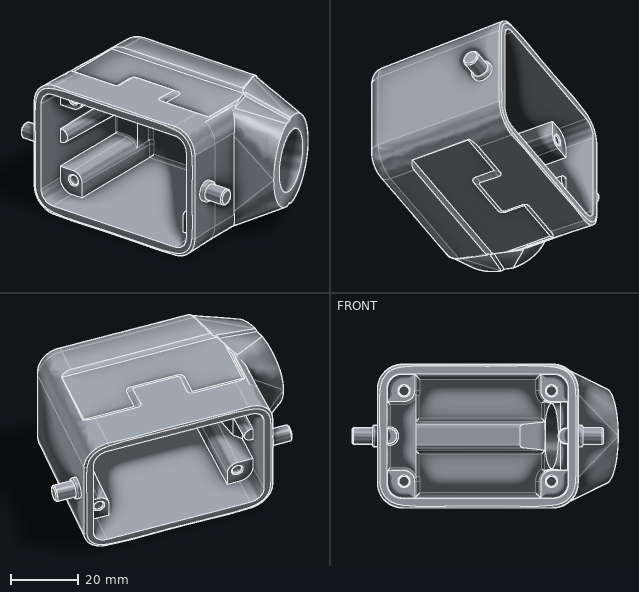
import math

import cadquery as cq

MOUTH_WIDTH = 60.0
MOUTH_HEIGHT = 42.98
BODY_DEPTH = 46.0
DRAFT = math.tan(math.radians(0.9))
CORNER_RADIUS = 7.6
BACK_FILLET = 4.0
RIM_CHAMFER_DEPTH = 0.4
RIM_CHAMFER_WIDTH = 0.85

SLANT_TOP_X = 19.2
SLANT_LOW_X, SLANT_LOW_Y = 25.6, 24.7
SLANT_FOOT_Y = 20.3

OUTLET_ANGLE = 15.85
OUTLET_RADIUS = 14.31
OUTLET_X, OUTLET_Y = 38.05, 37.41
OUTLET_BASE_TOP = (19.0, 45.95)
OUTLET_BASE_FOOT = (25.9, 18.9)
OUTLET_BASE_HALF_HEIGHT = 20.8
OUTLET_BASE_CORNER = 4.2
BORE_RADIUS = 9.7

PAD_START_X = 26.35
PAD_START_Y = 10.5

RECESS_FLOOR_Z = 20.05
RECESS_SLOPE = 1.5
RECESS_HALF_LENGTH = 25.2
RECESS_FRONT_Y = 13.65
RECESS_BACK_Y = 32.6
TAB_HALF_WIDTH = 9.2
TAB_BACK_Y = 21.7
RECESS_CUT_HEIGHT = 2.0
RECESS_SHARP_CORNER = 0.1
TAB_FLOOR_CORNER = 1.7
RECESS_OUTER_CORNER = 2.2
OUTLET_RECESS_DROP = 0.85
OUTLET_RECESS_BACK_X = 24.6
OUTLET_RECESS_BACK_Z = 19.3
OUTLET_RECESS_FRONT_Z = 20.1
OUTLET_RECESS_INSET = 0.55

MOUTH_WALL = 2.92
CAVITY_DEPTH = 43.0
CAVITY_CORNER = 4.3
FLOOR_FILLET = 1.0
INSERT_SEAT_Y = 9.3
POST_INNER_X = 18.8
POST_INNER_Z = 10.3
POST_CORNER = 3.3
POST_TAPER = 1.0
SCREW_X, SCREW_Z = 22.0, 13.5
SCREW_HOLE_DIAMETER = 3.0
SCREW_HOLE_DEPTH = 15.0
SCREW_HOLE_CHAMFER = 0.35
SHELF_Y = 36.5
SHELF_EDGE_X = -18.5
SHELF_FILLET = 0.4
END_WALL_Y = 20.4
END_WALL_FOOT_Y = 18.1
END_WALL_FRONT_X = 24.7
END_WALL_BACK_X = 19.8
RIDGE_TOP_Y = 36.8
RIDGE_TOP_HALF = 3.4
RIDGE_FILLET = 0.8
RIDGE_BASE_HALF = 4.5
FACET_FILLET = 0.6
RIDGE_FACET_X = 12.6
RIDGE_END_X = 20.0
RIDGE_END_Y = 41.3
RIB_HALF_WIDTH = 2.2
RIB_TIP_X = 24.2
RIB_TAPER = 1.2

PIN_Y = 6.1
PIN_DIAMETER = 5.0
PIN_SPAN = 75.0
PIN_CHAMFER = 0.4
COLLAR_DIAMETER = 6.5
COLLAR_SPAN = 62.7
COLLAR_FILLET = 0.5

MARGIN = 5.0
NEAR = 0.001


def section_at(depth):
    """XZ workplane at Y = depth, its normal pointing to -Y."""
    return cq.Workplane("XZ", origin=(0, depth, 0))


def drafted_block(width, height, depth, corner):
    """Rounded rectangle on Y = 0 that narrows with the draft up to Y = depth."""
    shrink = 2 * depth * DRAFT
    mouth = cq.Sketch().rect(width, height).vertices().fillet(corner)
    back = cq.Sketch().rect(width - shrink, height - shrink).vertices().fillet(corner)
    back = back.moved(cq.Location(cq.Vector(0, 0, -depth)))
    return section_at(0).placeSketch(mouth, back).loft(ruled=True)


def extrude_z(points):
    """Prism of an XY outline through the full height of the part."""
    return cq.Workplane("XY").polyline(points).close().extrude(MOUTH_HEIGHT, both=True)


def make_body():
    body = drafted_block(MOUTH_WIDTH, MOUTH_HEIGHT, BODY_DEPTH, CORNER_RADIUS)
    body = body.faces(">Y").edges().fillet(BACK_FILLET)
    body = body.faces("<Y").edges().chamfer(RIM_CHAMFER_DEPTH, RIM_CHAMFER_WIDTH)
    side_x = MOUTH_WIDTH / 2
    removed_end = [
        (SLANT_TOP_X, BODY_DEPTH),
        (SLANT_LOW_X, SLANT_LOW_Y),
        (side_x, SLANT_FOOT_Y),
        (side_x + MARGIN, SLANT_FOOT_Y),
        (side_x + MARGIN, BODY_DEPTH + MARGIN),
        (SLANT_TOP_X, BODY_DEPTH + MARGIN),
    ]
    return body.cut(extrude_z(removed_end))


def make_pad():
    """Undrafted continuation of the +X corners between the rim and the outlet."""
    shrink = 2 * PAD_START_Y * DRAFT
    outline = cq.Sketch().rect(MOUTH_WIDTH - shrink, MOUTH_HEIGHT - shrink)
    outline = outline.vertices().fillet(CORNER_RADIUS)
    pad = section_at(PAD_START_Y).placeSketch(outline).extrude(PAD_START_Y - SLANT_LOW_Y)
    side_x = MOUTH_WIDTH / 2
    kept = [
        (PAD_START_X, PAD_START_Y),
        (side_x, PAD_START_Y),
        (side_x, SLANT_FOOT_Y),
        (PAD_START_X, SLANT_LOW_Y - (PAD_START_X - SLANT_LOW_X)),
    ]
    return pad.intersect(extrude_z(kept))


def outlet_plane():
    """Plane of the outlet end face: local x along Z, local y up the face."""
    angle = math.radians(OUTLET_ANGLE)
    axis = cq.Vector(math.cos(angle), math.sin(angle), 0)
    return cq.Plane(origin=(OUTLET_X, OUTLET_Y, 0), xDir=(0, 0, -1), normal=axis)


def base_plane():
    """Plane of the outlet base inside the body, with the same local axes."""
    up = cq.Vector(*OUTLET_BASE_TOP) - cq.Vector(*OUTLET_BASE_FOOT)
    side = cq.Vector(0, 0, -1)
    return cq.Plane(origin=OUTLET_BASE_FOOT + (0,), xDir=side, normal=side.cross(up))


def make_outlet():
    """Hull of a rounded rectangle and a circle: four flat triangles and four conical corners."""
    base = base_plane()
    end = outlet_plane()
    length = math.dist(OUTLET_BASE_TOP, OUTLET_BASE_FOOT)
    corner_x = OUTLET_BASE_HALF_HEIGHT - OUTLET_BASE_CORNER

    def quarter(plane, x, y, radius, quadrant):
        """Start, middle and end of a quarter circle, from the flank to the top or foot edge."""
        side, upward = quadrant
        diagonal = radius * math.sqrt(0.5)
        steps = [(radius, 0), (diagonal, diagonal), (0, radius)]
        return [plane.toWorldCoords((x + side * a, y + upward * b)) for a, b in steps]

    def base_corner(quadrant):
        side, upward = quadrant
        y = length - OUTLET_BASE_CORNER if upward > 0 else OUTLET_BASE_CORNER
        return quarter(base, side * corner_x, y, OUTLET_BASE_CORNER, quadrant)

    quadrants = [(1, 1), (-1, 1), (-1, -1), (1, -1)]
    corners = [base_corner(quadrant) for quadrant in quadrants]
    quarters = [quarter(end, 0, 0, OUTLET_RADIUS, quadrant) for quadrant in quadrants]
    corner_arcs = [cq.Edge.makeThreePointArc(*points) for points in corners]
    circle_arcs = [cq.Edge.makeThreePointArc(*points) for points in quarters]
    faces = [cq.Face.makeRuledSurface(a, c) for a, c in zip(corner_arcs, circle_arcs)]

    base_lines = []
    for i, points in enumerate(corners):
        shared = 2 if i % 2 == 0 else 0
        following = (i + 1) % len(corners)
        start, finish, apex = points[shared], corners[following][shared], quarters[i][shared]
        line = cq.Edge.makeLine(start, finish)
        base_lines.append(line)
        rim = [line, cq.Edge.makeLine(finish, apex), cq.Edge.makeLine(apex, start)]
        faces.append(cq.Face.makeFromWires(cq.Wire.assembleEdges(rim)))

    base_edges = [edge for pair in zip(corner_arcs, base_lines) for edge in pair]
    faces.append(cq.Face.makeFromWires(cq.Wire.assembleEdges(base_edges)))
    faces.append(cq.Face.makeFromWires(cq.Wire.assembleEdges(circle_arcs)))
    return cq.Workplane(cq.Solid.makeSolid(cq.Shell.makeShell(faces)))


def make_side_recess():
    """Cutter for the +Z side: recess with a tab standing in it, all walls sloping outwards."""
    def is_at(vertex, point):
        return (vertex.Center() - point).Length < NEAR

    def outline(rise, tab_radius, beside_radius):
        grow = rise * RECESS_SLOPE
        end_x = RECESS_HALF_LENGTH + grow
        tab_x = TAB_HALF_WIDTH - grow
        front_y = RECESS_FRONT_Y - grow
        tab_y = TAB_BACK_Y - grow
        back_y = RECESS_BACK_Y + grow
        points = [
            (-end_x, front_y),
            (-tab_x, front_y),
            (-tab_x, tab_y),
            (tab_x, tab_y),
            (tab_x, front_y),
            (end_x, front_y),
            (end_x, back_y),
            (-end_x, back_y),
        ]
        corners = [cq.Vector(x, y, RECESS_FLOOR_Z + rise) for x, y in points]
        wire = cq.Wire.makePolygon(corners, close=True)
        for indices, radius in (((1, 4), beside_radius), ((2, 3), tab_radius)):
            rounded = [v for i in indices for v in wire.Vertices() if is_at(v, corners[i])]
            wire = wire.fillet2D(radius, rounded)
        return wire

    wires = [
        outline(0, TAB_FLOOR_CORNER, RECESS_SHARP_CORNER),
        outline(RECESS_CUT_HEIGHT, RECESS_SHARP_CORNER, RECESS_OUTER_CORNER),
    ]
    return cq.Workplane(cq.Solid.makeLoft(wires, ruled=True))


def make_outlet_recess():
    """Cutter that carries the recess floor on along the lower flank of the outlet."""
    angle = math.radians(OUTLET_ANGLE)
    back = cq.Vector(OUTLET_RECESS_BACK_X, RECESS_BACK_Y, OUTLET_RECESS_BACK_Z)
    front = cq.Vector(SLANT_LOW_X, SLANT_LOW_Y, OUTLET_RECESS_FRONT_Z)
    apex = cq.Vector(
        OUTLET_X + OUTLET_RECESS_DROP * math.sin(angle),
        OUTLET_Y - OUTLET_RECESS_DROP * math.cos(angle),
        OUTLET_RADIUS - OUTLET_RECESS_INSET,
    )
    ridge_line = apex - back
    normal = (front - back).cross(ridge_line)
    plane = cq.Plane(origin=back, xDir=ridge_line, normal=normal)
    reach = ridge_line.Length + MARGIN
    lower = -BODY_DEPTH / 2
    slope = math.degrees(math.atan(RECESS_SLOPE))
    cutter = cq.Workplane(plane).polyline([(0, 0), (reach, 0), (reach, lower), (0, lower)]).close()
    return cutter.extrude(RECESS_CUT_HEIGHT, taper=-slope)


def make_bore():
    length = 2 * OUTLET_X
    bore = cq.Workplane(outlet_plane()).circle(BORE_RADIUS).extrude(-length)
    end_space = [
        (END_WALL_FRONT_X, END_WALL_Y),
        (END_WALL_FRONT_X + length, END_WALL_Y),
        (END_WALL_FRONT_X + length, 2 * BODY_DEPTH),
        (END_WALL_BACK_X, 2 * BODY_DEPTH),
        (END_WALL_BACK_X, CAVITY_DEPTH),
    ]
    return bore.intersect(extrude_z(end_space))


def make_post(side_x, side_z):
    """Screw post in one cavity corner, widening slightly towards the back."""
    outer_x = side_x * MOUTH_WIDTH / 2
    outer_z = side_z * MOUTH_HEIGHT / 2
    inner_x = side_x * POST_INNER_X
    inner_z = side_z * POST_INNER_Z
    arc_middle = POST_CORNER * (1 - math.sqrt(0.5))
    seat = (
        section_at(INSERT_SEAT_Y)
        .moveTo(outer_x, outer_z)
        .lineTo(inner_x, outer_z)
        .lineTo(inner_x, inner_z + side_z * POST_CORNER)
        .threePointArc(
            (inner_x + side_x * arc_middle, inner_z + side_z * arc_middle),
            (inner_x + side_x * POST_CORNER, inner_z),
        )
        .lineTo(outer_x, inner_z)
        .close()
    )
    return seat.extrude(INSERT_SEAT_Y - CAVITY_DEPTH - MARGIN, taper=-POST_TAPER)


def make_shelf():
    """Step on the -X side between the posts."""
    outer_x = -MOUTH_WIDTH / 2
    back_y = CAVITY_DEPTH + MARGIN
    return extrude_z([(outer_x, SHELF_Y), (SHELF_EDGE_X, SHELF_Y), (SHELF_EDGE_X, back_y), (outer_x, back_y)])


def make_end_wall():
    """Slanted wall on the +X side that the bore passes through."""
    outer_x = MOUTH_WIDTH / 2
    foot_x = outer_x - MOUTH_WALL - END_WALL_FOOT_Y * DRAFT
    chamfer_slope = (END_WALL_Y - END_WALL_FOOT_Y) / (foot_x - END_WALL_FRONT_X)
    lean = (END_WALL_FRONT_X - END_WALL_BACK_X) / (CAVITY_DEPTH - END_WALL_Y)
    back_y = CAVITY_DEPTH + MARGIN
    points = [
        (outer_x, END_WALL_FOOT_Y - (outer_x - foot_x) * chamfer_slope),
        (END_WALL_FRONT_X, END_WALL_Y),
        (END_WALL_BACK_X - lean * MARGIN, back_y),
        (outer_x, back_y),
    ]
    return extrude_z(points)


def make_ridge():
    """Central ridge on the cavity floor, sloping down towards the bore."""
    start_x = SHELF_EDGE_X - MARGIN
    end_x = RIDGE_END_X + MARGIN
    flank = (RIDGE_BASE_HALF - RIDGE_TOP_HALF) / (CAVITY_DEPTH - RIDGE_TOP_Y)
    back_y = CAVITY_DEPTH + MARGIN
    back_half = RIDGE_BASE_HALF + flank * MARGIN
    profile = [
        (RIDGE_TOP_Y, -RIDGE_TOP_HALF),
        (RIDGE_TOP_Y, RIDGE_TOP_HALF),
        (back_y, back_half),
        (back_y, -back_half),
    ]
    bar = cq.Workplane("YZ", origin=(start_x, 0, 0)).polyline(profile).close().extrude(end_x - start_x)
    side = [
        (start_x, RIDGE_TOP_Y),
        (RIDGE_FACET_X, RIDGE_TOP_Y),
        (RIDGE_END_X, RIDGE_END_Y),
        (end_x, RIDGE_END_Y),
        (end_x, back_y),
        (start_x, back_y),
    ]
    ridge = bar.intersect(extrude_z(side))
    return ridge.edges("|X").edges("<Y").fillet(RIDGE_FILLET)


def make_rib(side_x):
    """Round-nosed guide rib on an end wall."""
    straight_end = side_x * (RIB_TIP_X + RIB_HALF_WIDTH)
    outer = side_x * MOUTH_WIDTH / 2
    rib = (
        section_at(INSERT_SEAT_Y)
        .moveTo(outer, -RIB_HALF_WIDTH)
        .lineTo(straight_end, -RIB_HALF_WIDTH)
        .threePointArc((side_x * RIB_TIP_X, 0), (straight_end, RIB_HALF_WIDTH))
        .lineTo(outer, RIB_HALF_WIDTH)
        .close()
    )
    back_y = SHELF_Y if side_x < 0 else END_WALL_Y
    return rib.extrude(INSERT_SEAT_Y - back_y, taper=-RIB_TAPER)


def make_cavity():
    cavity = drafted_block(
        MOUTH_WIDTH - 2 * MOUTH_WALL, MOUTH_HEIGHT - 2 * MOUTH_WALL, CAVITY_DEPTH, CAVITY_CORNER
    )
    for side_x in (-1, 1):
        for side_z in (-1, 1):
            cavity = cavity.cut(make_post(side_x, side_z))
    cavity = cavity.cut(make_shelf()).cut(make_end_wall()).cut(make_ridge())
    shelf_x = (SHELF_EDGE_X - MOUTH_WIDTH / 2 + MOUTH_WALL) / 2
    shelf_face = cq.selectors.NearestToPointSelector((shelf_x, SHELF_Y, 0))
    cavity = cavity.faces(shelf_face).edges("<X or >Z or <Z").fillet(SHELF_FILLET)
    facet_end = cq.selectors.NearestToPointSelector((RIDGE_END_X, RIDGE_END_Y, 0))
    cavity = cavity.edges(facet_end).fillet(FACET_FILLET)
    cavity = cavity.faces(">Y").edges().fillet(FLOOR_FILLET)
    for side_x in (-1, 1):
        cavity = cavity.cut(make_rib(side_x))
    return cavity


def make_screw_hole(x, z):
    radius = SCREW_HOLE_DIAMETER / 2
    hole = section_at(INSERT_SEAT_Y).center(x, z).circle(radius).extrude(-SCREW_HOLE_DEPTH)
    mouth_radius = radius + SCREW_HOLE_CHAMFER
    seat = cq.Vector(x, INSERT_SEAT_Y, z)
    mouth = cq.Solid.makeCone(mouth_radius, radius, SCREW_HOLE_CHAMFER, seat, cq.Vector(0, 1, 0))
    return hole.union(cq.Workplane(mouth))


def make_pin(side_x):
    """Locking pin with a collar on one end of the body."""
    root_x = MOUTH_WIDTH / 2 - MOUTH_WALL / 2
    outward = cq.Plane(origin=(side_x * root_x, PIN_Y, 0), xDir=(0, 1, 0), normal=(side_x, 0, 0))
    pin = cq.Workplane(outward).circle(PIN_DIAMETER / 2).extrude(PIN_SPAN / 2 - root_x)
    tip = ">X" if side_x > 0 else "<X"
    pin = pin.faces(tip).edges().chamfer(PIN_CHAMFER)
    collar = cq.Workplane(outward).circle(COLLAR_DIAMETER / 2).extrude(COLLAR_SPAN / 2 - root_x)
    return pin.union(collar.faces(tip).edges().fillet(COLLAR_FILLET))


def make_hood():
    hood = make_body().union(make_pad())
    outlet_recess = make_outlet_recess()
    outlet = make_outlet().cut(outlet_recess).cut(outlet_recess.mirror("XY"))
    hood = hood.union(outlet)
    recess = make_side_recess()
    hood = hood.cut(recess).cut(recess.mirror("XY"))
    hood = hood.cut(make_cavity()).cut(make_bore())
    for x in (-SCREW_X, SCREW_X):
        for z in (-SCREW_Z, SCREW_Z):
            hood = hood.cut(make_screw_hole(x, z))
    for side_x in (-1, 1):
        hood = hood.union(make_pin(side_x))
    return hood


result = make_hood()